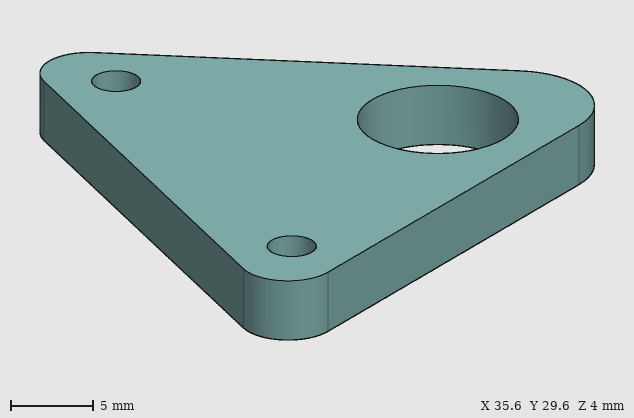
import cadquery as cq
import math

width = 35.6
thickness = 4.0
base_radius = 3.0
tip_radius = 5.0
flank_angle = math.radians(60)

large_hole_diameter = 9.83
large_hole_y = 19.65
small_hole_diameter = 3.0
small_hole_spacing = 26.15
small_hole_y = 4.02

base_center_x = width / 2 - base_radius
normal_x = math.sin(flank_angle)
normal_y = math.cos(flank_angle)
flank_offset = base_center_x * normal_x + base_radius * normal_y + base_radius
tip_center_y = (flank_offset - tip_radius) / normal_y


def arc_point(center_x, center_y, radius, angle):
    """Point on a corner arc at an angle measured from +X."""
    return (center_x + radius * math.cos(angle), center_y + radius * math.sin(angle))


def mirrored(point):
    return (-point[0], point[1])


def plate():
    """Triangular plate with three tangent rounded corners."""
    normal_angle = math.pi / 2 - flank_angle
    base_mid_angle = (normal_angle - math.pi / 2) / 2
    base_end = (base_center_x, 0)
    base_mid = arc_point(base_center_x, base_radius, base_radius, base_mid_angle)
    flank_start = arc_point(base_center_x, base_radius, base_radius, normal_angle)
    flank_end = arc_point(0, tip_center_y, tip_radius, normal_angle)
    tip = (0, tip_center_y + tip_radius)
    return (
        cq.Workplane("XY")
        .moveTo(*mirrored(base_end))
        .lineTo(*base_end)
        .threePointArc(base_mid, flank_start)
        .lineTo(*flank_end)
        .threePointArc(tip, mirrored(flank_end))
        .lineTo(*mirrored(flank_start))
        .threePointArc(mirrored(base_mid), mirrored(base_end))
        .close()
        .extrude(thickness)
    )


def through_hole(x, y, diameter):
    return cq.Workplane("XY").center(x, y).circle(diameter / 2).extrude(thickness)


result = plate().cut(through_hole(0, large_hole_y, large_hole_diameter))
for side in (-1, 1):
    hole_x = side * small_hole_spacing / 2
    result = result.cut(through_hole(hole_x, small_hole_y, small_hole_diameter))